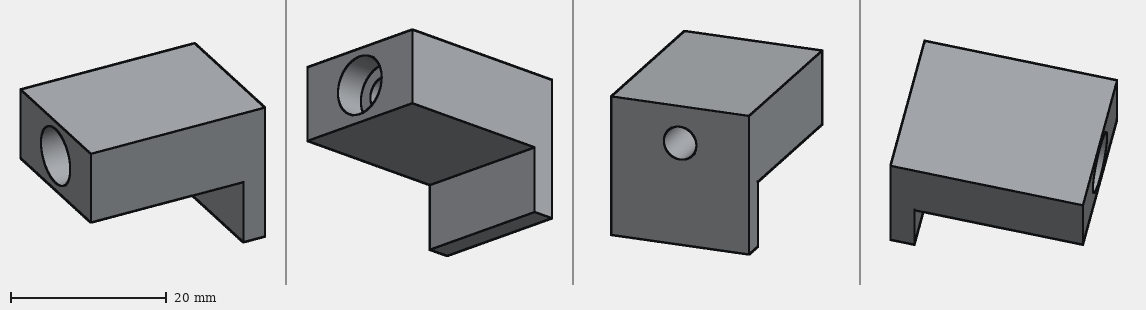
import cadquery as cq

width = 19.05
length = 25.4
height = 19.05

body_height = 10.15
leg_thickness = 3.18

hole_diameter = 4.5
counterbore_diameter = 7.92
counterbore_depth = 4.17

front_y = -length / 2
top_z = height / 2
hole_z = top_z - body_height / 2


def y_cylinder(diameter, depth):
    """Cylinder on the hole axis, running from the front face toward +Y."""
    axis_start = cq.Vector(0, front_y, hole_z)
    return cq.Workplane(cq.Solid.makeCylinder(diameter / 2, depth, axis_start, cq.Vector(0, 1, 0)))


body = cq.Workplane("XY").box(width, length, height)
clearance_below = cq.Workplane("XY").box(
    width, length - leg_thickness, height - body_height, centered=(True, False, False)
).translate((0, front_y, -height / 2))

result = (
    body.cut(clearance_below)
    .cut(y_cylinder(hole_diameter, length))
    .cut(y_cylinder(counterbore_diameter, counterbore_depth))
)